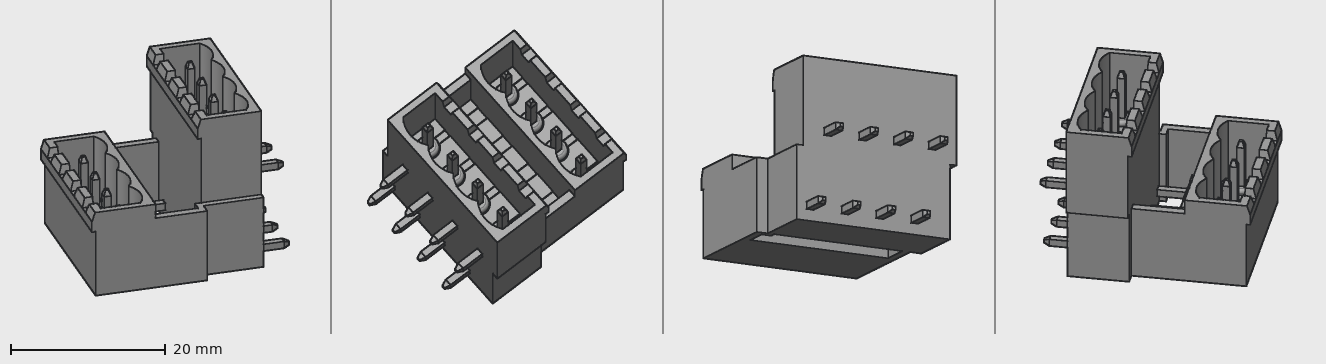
import cadquery as cq


POLES = 4
PITCH = 5.07
TIER_WIDTH = 22.3
SIDE_WALL = (TIER_WIDTH - POLES * PITCH) / 2

TIER_DEPTH = 8.61
TIER_HEIGHT = 12.0
LIP_DEPTH = 0.5
LIP_HEIGHT = 2.77
LIP_BEVEL_DEPTH = 0.42
LIP_BEVEL_HEIGHT = 1.27

UPPER_SHIFT_Y = 15.1
UPPER_SHIFT_Z = 10.0
LOWER_SHIFT_X = 2.55

CAVITY_FRONT = 1.5
CAVITY_CORNER = 6.85
CAVITY_BACK = 7.7
FLOOR_HEIGHT = 3.5

NOTCH_TOP_WIDTH = 2.0
NOTCH_BOTTOM_WIDTH = 1.38

BOSS_DIAMETER = 3.0
BOSS_HEIGHT = 0.7
BOSS_ROUNDING = 0.5
BOSS_RECESS_DIAMETER = 3.19
GROOVE_DEPTH = 0.2
FRONT_GROOVE_WIDTH = 1.02
BACK_GROOVE_WIDTH = 1.85

BASE_LEFT = 0.95
BASE_RIGHT = BASE_LEFT + TIER_WIDTH
BRIDGE_WALL = 0.9
BASE_FRONT = UPPER_SHIFT_Y + LIP_DEPTH
BASE_BACK = UPPER_SHIFT_Y + TIER_DEPTH
LINK_WALL = 1.14
LEDGE_BACK = 11.55

PIN_WIDTH = 1.0
PIN_AXIS_Y = 4.65
PIN_AXIS_Z = 2.02
PIN_ROW_SPACING_Y = 15.24
PIN_ROW_SPACING_Z = 10.17
PIN_TOP = 10.66
PIN_END_Y = 27.7
TIP_LENGTH = 0.78
TIP_WIDTH = 0.45

LOWER_TIER = {"block": (LOWER_SHIFT_X, 0, 0), "pin_row": (LOWER_SHIFT_X, 0, 0)}
UPPER_TIER = {
    "block": (0, UPPER_SHIFT_Y, UPPER_SHIFT_Z),
    "pin_row": (0, PIN_ROW_SPACING_Y, PIN_ROW_SPACING_Z),
}
TIERS = [LOWER_TIER, UPPER_TIER]


def box(x_range, y_range, z_range):
    """Box given by its limits along each axis."""
    size = [high - low for low, high in (x_range, y_range, z_range)]
    corner = (x_range[0], y_range[0], z_range[0])
    return cq.Workplane("XY").box(*size, centered=False).translate(corner)


def pole_positions():
    """X of each pole, from the left side of its tier."""
    return [SIDE_WALL + (i + 0.5) * PITCH for i in range(POLES)]


def tier_block():
    """Solid block of one tier, with the bevelled lip along its top front edge."""
    bevel_bottom = TIER_HEIGHT - LIP_BEVEL_HEIGHT
    lip_bottom = TIER_HEIGHT - LIP_HEIGHT
    return (
        cq.Workplane("YZ")
        .moveTo(LIP_DEPTH, 0)
        .lineTo(LIP_DEPTH, lip_bottom)
        .lineTo(0, lip_bottom)
        .lineTo(0, bevel_bottom)
        .lineTo(LIP_BEVEL_DEPTH, TIER_HEIGHT)
        .lineTo(TIER_DEPTH, TIER_HEIGHT)
        .lineTo(TIER_DEPTH, 0)
        .close()
        .extrude(TIER_WIDTH)
    )


def plug_cavity():
    """Space for the plug: flat front and sides, and one arc per pole along the back."""
    outline = (
        cq.Workplane("XY", origin=(0, 0, FLOOR_HEIGHT))
        .moveTo(SIDE_WALL, CAVITY_CORNER)
        .lineTo(SIDE_WALL, CAVITY_FRONT)
        .lineTo(TIER_WIDTH - SIDE_WALL, CAVITY_FRONT)
        .lineTo(TIER_WIDTH - SIDE_WALL, CAVITY_CORNER)
    )
    for x in reversed(pole_positions()):
        outline = outline.threePointArc((x, CAVITY_BACK), (x - PITCH / 2, CAVITY_CORNER))
    return outline.close().extrude(TIER_HEIGHT - FLOOR_HEIGHT)


def wall_notch(x):
    """Tapered notch through the top of the front wall."""
    bottom = TIER_HEIGHT - LIP_BEVEL_HEIGHT
    return (
        cq.Workplane("XZ")
        .moveTo(x - NOTCH_BOTTOM_WIDTH / 2, bottom)
        .lineTo(x + NOTCH_BOTTOM_WIDTH / 2, bottom)
        .lineTo(x + NOTCH_TOP_WIDTH / 2, TIER_HEIGHT)
        .lineTo(x - NOTCH_TOP_WIDTH / 2, TIER_HEIGHT)
        .close()
        .extrude(-CAVITY_FRONT)
    )


def groove(x, width, y_range):
    """Shallow groove of the given width, sunk into the floor level and centred on a pole."""
    x_range = (x - width / 2, x + width / 2)
    return box(x_range, y_range, (FLOOR_HEIGHT - GROOVE_DEPTH, FLOOR_HEIGHT))


def boss_recess(x, y):
    """Round recess that leaves a narrow ring around a boss, as deep as the grooves that run into it."""
    return (
        cq.Workplane("XY", origin=(x, y, FLOOR_HEIGHT - GROOVE_DEPTH))
        .circle(BOSS_RECESS_DIAMETER / 2)
        .extrude(GROOVE_DEPTH)
    )


def pin_boss(x, y):
    """Round-shouldered boss around a pin, rooted in the bottom of the grooves."""
    return (
        cq.Workplane("XY", origin=(x, y, FLOOR_HEIGHT - GROOVE_DEPTH))
        .circle(BOSS_DIAMETER / 2)
        .extrude(GROOVE_DEPTH + BOSS_HEIGHT)
        .faces(">Z")
        .edges()
        .fillet(BOSS_ROUNDING)
    )


def tier(block, pin_row):
    """One complete tier without its pin holes."""
    boss_y = PIN_AXIS_Y + pin_row[1] - block[1]
    body = tier_block().cut(plug_cavity())
    for x in pole_positions():
        body = body.cut(wall_notch(x))
        body = body.cut(groove(x, FRONT_GROOVE_WIDTH, (CAVITY_FRONT, boss_y)))
        body = body.cut(groove(x, BACK_GROOVE_WIDTH, (boss_y, CAVITY_BACK)))
        body = body.cut(boss_recess(x, boss_y))
        body = body.union(pin_boss(x, boss_y))
    return body.translate(block)


def base():
    """Base block under the upper tier, with side walls and a grooved ledge linking it to the lower tier."""
    link_left = LOWER_SHIFT_X
    link_right = LOWER_SHIFT_X + TIER_WIDTH
    outer = [
        (link_left, TIER_DEPTH),
        (link_left, BASE_FRONT),
        (BASE_LEFT, BASE_FRONT),
        (BASE_LEFT, BASE_BACK),
        (BASE_RIGHT, BASE_BACK),
        (BASE_RIGHT, BASE_FRONT),
        (link_right, BASE_FRONT),
        (link_right, TIER_DEPTH),
    ]
    opening = [
        (link_left + LINK_WALL, LEDGE_BACK),
        (link_left + LINK_WALL, BASE_FRONT),
        (TIER_WIDTH, BASE_FRONT),
        (TIER_WIDTH, BASE_FRONT - BRIDGE_WALL),
        (link_right - LINK_WALL, BASE_FRONT - BRIDGE_WALL),
        (link_right - LINK_WALL, LEDGE_BACK),
    ]
    body = cq.Workplane("XY").polyline(outer).close().extrude(UPPER_SHIFT_Z)
    body = body.cut(cq.Workplane("XY").polyline(opening).close().extrude(UPPER_SHIFT_Z))

    ledge_y = (TIER_DEPTH, LEDGE_BACK)
    ledge_x = (link_left + LINK_WALL, link_right - LINK_WALL)
    body = body.cut(box(ledge_x, ledge_y, (FLOOR_HEIGHT, UPPER_SHIFT_Z)))
    for x in pole_positions():
        body = body.cut(groove(link_left + x, BACK_GROOVE_WIDTH, ledge_y))
    return body


def pin_tip():
    """Tapered pin end, standing on the XY plane."""
    return (
        cq.Workplane("XY")
        .rect(PIN_WIDTH, PIN_WIDTH)
        .workplane(offset=TIP_LENGTH)
        .rect(TIP_WIDTH, TIP_WIDTH)
        .loft(ruled=True)
    )


def pin(origin, x):
    """Square bent pin: an upright contact and a tail leaving the back of the housing."""
    half = PIN_WIDTH / 2
    tail_length = PIN_END_Y - origin[1]
    upright_end = PIN_TOP - TIP_LENGTH
    tail_end = tail_length - TIP_LENGTH
    side = (-half, half)
    along = (PIN_AXIS_Y - half, PIN_AXIS_Y + half)
    upright = box(side, along, (PIN_AXIS_Z - half, upright_end))
    tail = box(side, (PIN_AXIS_Y, tail_end), (PIN_AXIS_Z - half, PIN_AXIS_Z + half))
    upright_tip = pin_tip().translate((0, PIN_AXIS_Y, upright_end))
    tail_tip = pin_tip().rotate((0, 0, 0), (1, 0, 0), -90).translate((0, tail_end, PIN_AXIS_Z))
    body = upright.union(tail).union(upright_tip).union(tail_tip)
    return body.translate((origin[0] + x, origin[1], origin[2]))


pins = [pin(place["pin_row"], x) for place in TIERS for x in pole_positions()]

housing = base()
for place in TIERS:
    housing = housing.union(tier(place["block"], place["pin_row"]))
for fitted_pin in pins:
    housing = housing.cut(fitted_pin)

result = cq.Compound.makeCompound([housing.val(), *[p.val() for p in pins]])